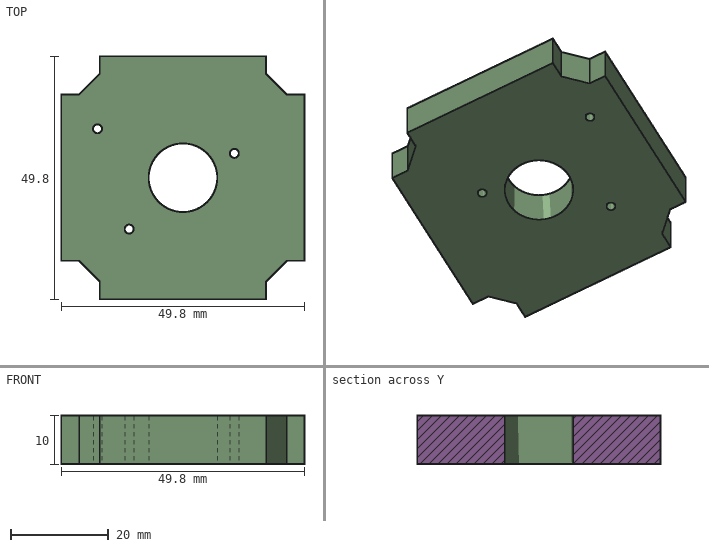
import cadquery as cq

side = 49.8
thickness = 10.0

notch_side = 7.85
notch_lip = 3.65

bore_diameter = 14.0
pin_hole_diameter = 1.8
pin_hole_centers = [(-17.5, 10.0), (10.5, 5.0), (-11.0, -10.5)]


def corner_notch(x_sign, y_sign):
    """Cutter for the plate corner in the given quadrant."""
    outer = side / 2
    inner = outer - notch_side
    lip_end = outer - notch_lip
    outline = [(outer, outer), (inner, outer), (inner, lip_end), (lip_end, inner), (outer, inner)]
    points = [(x_sign * x, y_sign * y) for x, y in outline]
    return cq.Workplane("XY").polyline(points).close().extrude(thickness)


plate = cq.Workplane("XY").box(side, side, thickness, centered=(True, True, False))

for x_sign in (-1, 1):
    for y_sign in (-1, 1):
        plate = plate.cut(corner_notch(x_sign, y_sign))

plate = plate.faces(">Z").workplane(origin=(0, 0, thickness)).hole(bore_diameter)

plate = (
    plate.faces(">Z")
    .workplane(origin=(0, 0, thickness))
    .pushPoints(pin_hole_centers)
    .hole(pin_hole_diameter)
)

result = plate